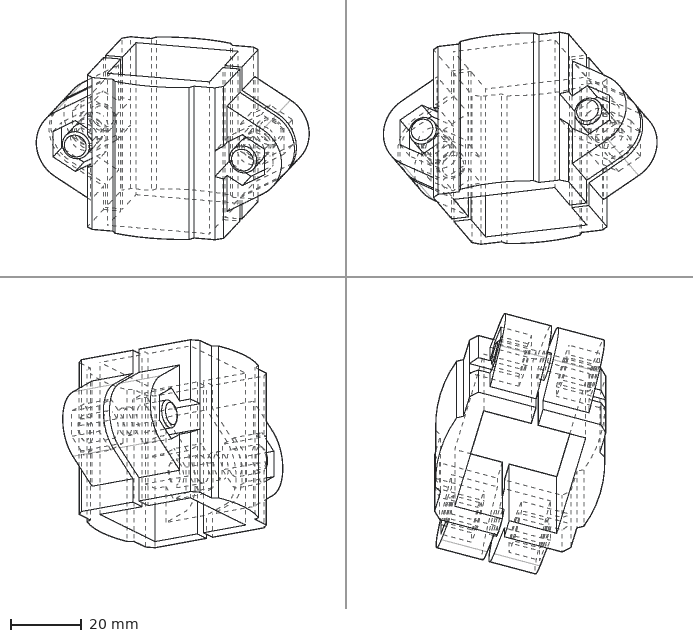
import cadquery as cq
import math

height = 45.0
body_width = 40.0
body_chamfer = 2.0
bore_width = 29.95
split_gap = 2.0

total_depth = 47.0
pad_base_width = 23.75
pad_side_height = 1.7
pad_side_angle = 30

total_width = 72
ear_depth = 29.0
ear_tip_radius = 11.0
ear_flank_angle = 30

bolt_spacing = 49.0
bolt_diameter = 8.0
bolt_chamfer = 0.8
hex_sides = 6
hex_across_flats = 13.0
pocket_depth = 9.0

ear_tip_center = total_width / 2 - ear_tip_radius


def make_body():
    return (
        cq.Workplane("XY")
        .rect(body_width, body_width)
        .extrude(height / 2, both=True)
        .edges("|Z")
        .chamfer(body_chamfer)
    )


def make_pads():
    """Bar through the body whose two ends are the crowned pads."""
    base_half = pad_base_width / 2
    crown_half = base_half - pad_side_height * math.tan(math.radians(pad_side_angle))
    base_y = body_width / 2
    shoulder_y = base_y + pad_side_height
    crown_y = total_depth / 2
    return (
        cq.Workplane("XY")
        .moveTo(-base_half, -base_y)
        .lineTo(-crown_half, -shoulder_y)
        .threePointArc((0, -crown_y), (crown_half, -shoulder_y))
        .lineTo(base_half, -base_y)
        .lineTo(base_half, base_y)
        .lineTo(crown_half, shoulder_y)
        .threePointArc((0, crown_y), (-crown_half, shoulder_y))
        .lineTo(-base_half, base_y)
        .close()
        .extrude(height / 2, both=True)
    )


def make_ear(side):
    """Ear with a rounded tip and tangent flanks; side is +1 for +X, -1 for -X."""
    flank = math.radians(ear_flank_angle)
    root_x = bore_width / 2
    tangent_x = ear_tip_center + ear_tip_radius * math.sin(flank)
    tangent_z = ear_tip_radius * math.cos(flank)
    root_z = tangent_z + (tangent_x - root_x) * math.tan(flank)
    return (
        cq.Workplane("XZ")
        .moveTo(side * root_x, -root_z)
        .lineTo(side * tangent_x, -tangent_z)
        .threePointArc((side * total_width / 2, 0), (side * tangent_x, tangent_z))
        .lineTo(side * root_x, root_z)
        .close()
        .extrude(ear_depth / 2, both=True)
    )


def make_hex_pockets(side):
    """Hexagonal cutters at both ends of one bolt, with flats facing along X."""
    floor_y = ear_depth / 2 - pocket_depth
    across_corners = hex_across_flats / math.cos(math.pi / hex_sides)
    front = (
        cq.Workplane("XZ", origin=(side * bolt_spacing / 2, -floor_y, 0))
        .transformed(rotate=(0, 0, 90))
        .polygon(hex_sides, across_corners)
        .extrude(total_depth / 2 - floor_y)
    )
    return front.union(front.mirror("XZ"))


def make_bolt(side):
    """Bolt ending flush with the outer faces of the ears."""
    return (
        cq.Workplane("XZ", origin=(side * bolt_spacing / 2, 0, 0))
        .circle(bolt_diameter / 2)
        .extrude(ear_depth / 2, both=True)
        .faces("<Y or >Y")
        .chamfer(bolt_chamfer)
    )


clamp = make_body().union(make_pads())
for side in (-1, 1):
    clamp = clamp.union(make_ear(side))

clamp = clamp.cut(cq.Workplane("XY").box(bore_width, bore_width, height))
clamp = clamp.cut(cq.Workplane("XY").box(total_width, split_gap, height))

for side in (-1, 1):
    clamp = clamp.cut(make_hex_pockets(side)).union(make_bolt(side))

result = clamp